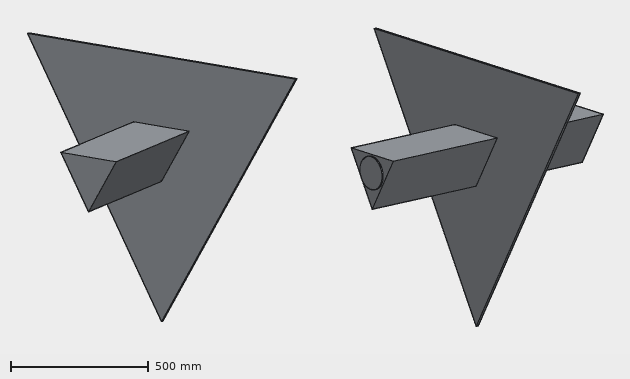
import cadquery as cq
import math

PLATE_SIDE = 1160.0
PLATE_THICKNESS = 10.0
PRISM_SIDE = 240.0
PRISM_LENGTH = 1000.0
BOSS_DIAMETER = 125.0
BOSS_HEIGHT = 6.0


def triangular_prism(side, length):
    """Equilateral prism along Y, apex down, with its centroid at the origin."""
    height = side * math.sqrt(3) / 2
    top = height / 3
    corners = [(-side / 2, top), (side / 2, top), (0, top - height)]
    return cq.Workplane("XZ").polyline(corners).close().extrude(length / 2, both=True)


plate = triangular_prism(PLATE_SIDE, PLATE_THICKNESS)
prism = triangular_prism(PRISM_SIDE, PRISM_LENGTH)

boss = (
    cq.Workplane("XZ", origin=(0, PRISM_LENGTH / 2, 0))
    .circle(BOSS_DIAMETER / 2)
    .extrude(-BOSS_HEIGHT)
)

result = plate.union(prism).union(boss)